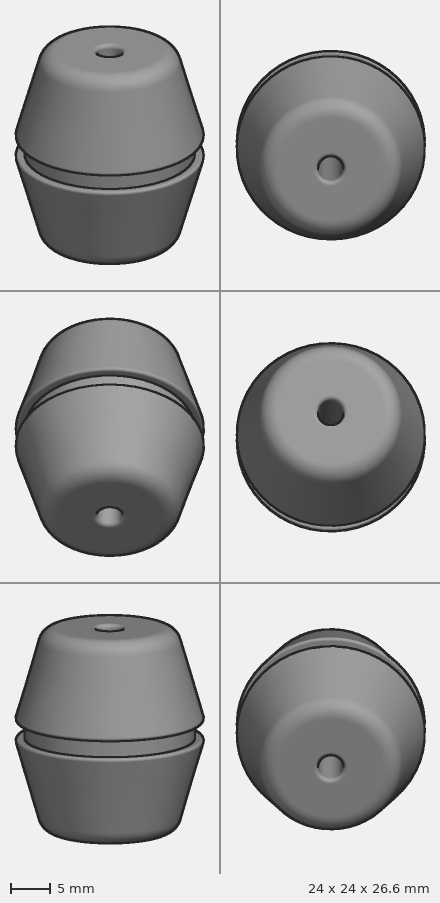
import cadquery as cq

height = 26.57
end_radius = 8.55
rim_radius = 12.1
end_fillet = 2.3
rim_fillet = 0.35

groove_width = 2.25
core_diameter = 21.73

hole_diameter = 3.21
mouth_fillet = 0.55

half_height = height / 2
half_groove = groove_width / 2


def upper_cone():
    """Tapered upper half, rounded at its end face and at its rim."""
    outline = [
        (0, half_groove),
        (rim_radius, half_groove),
        (end_radius, half_height),
        (0, half_height),
    ]
    cone = cq.Workplane("XZ").polyline(outline).close().revolve(360, (0, 0), (0, 1))
    cone = cone.faces(">Z").edges().fillet(end_fillet)
    return cone.faces("<Z").edges().fillet(rim_fillet)


def core():
    """Cylinder at the bottom of the groove, reaching into both cones."""
    return cq.Workplane("XY").cylinder(2 * groove_width, core_diameter / 2)


def drill(body):
    """Cut the axial hole and round its two mouths."""
    drilled = body.faces(">Z").workplane().hole(hole_diameter)
    mouths = drilled.faces("<Z or >Z").edges(cq.selectors.RadiusNthSelector(0))
    return drilled.newObject(mouths.vals()).fillet(mouth_fillet)


upper = upper_cone()
lower = upper.mirror("XY")
result = drill(core().union(upper).union(lower))